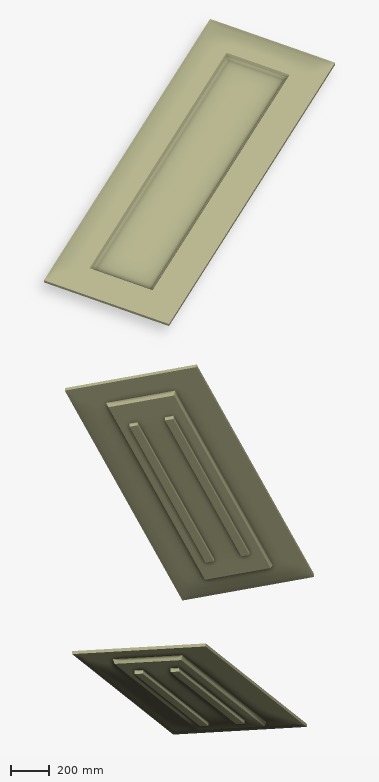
import cadquery as cq

LENGTH = 2000.0
WIDTH = 710.0
HEIGHT = 60.0

TRAY_BOTTOM = 20.0
FRAME_BOTTOM = 45.0
TRAY_FLOOR = 32.0

LENGTH_SURPLUS = LENGTH - WIDTH
OPENING_TOP_WIDTH = 358.0
OPENING_BOTTOM_WIDTH = 340.0
FLOOR_WIDTH = 308.0
TRAY_TOP_WIDTH = 370.0
TRAY_BOTTOM_WIDTH = 355.0

RAIL_WIDTH = 45.0
RAIL_LENGTH = 1295.0
RAIL_SPACING = 192.0


def tapered_block(bottom_width, top_width, bottom, top):
    """Block with sloping sides, longer in Y than in X by the surplus length."""
    return (
        cq.Workplane("XY", origin=(0, 0, bottom))
        .rect(bottom_width, bottom_width + LENGTH_SURPLUS)
        .workplane(offset=top - bottom)
        .rect(top_width, top_width + LENGTH_SURPLUS)
        .loft(ruled=True)
    )


def make_frame():
    """Flat surround with a sloping rectangular opening."""
    slab = tapered_block(WIDTH, WIDTH, FRAME_BOTTOM, HEIGHT)
    opening = tapered_block(OPENING_BOTTOM_WIDTH, OPENING_TOP_WIDTH, FRAME_BOTTOM, HEIGHT)
    return slab.cut(opening)


def make_tray():
    """Shallow tray under the frame, with sloping sides inside and outside."""
    block = tapered_block(TRAY_BOTTOM_WIDTH, TRAY_TOP_WIDTH, TRAY_BOTTOM, FRAME_BOTTOM)
    recess = tapered_block(FLOOR_WIDTH, OPENING_BOTTOM_WIDTH, TRAY_FLOOR, FRAME_BOTTOM)
    return block.cut(recess)


def make_rail(x):
    """Straight support rail under the tray, centred at the given X."""
    return (
        cq.Workplane("XY")
        .center(x, 0)
        .rect(RAIL_WIDTH, RAIL_LENGTH)
        .extrude(TRAY_BOTTOM)
    )


frame = make_frame()
tray = make_tray()
rails = [make_rail(side * RAIL_SPACING / 2) for side in (-1, 1)]

result = cq.Compound.makeCompound([frame.val(), tray.val(), *[rail.val() for rail in rails]])